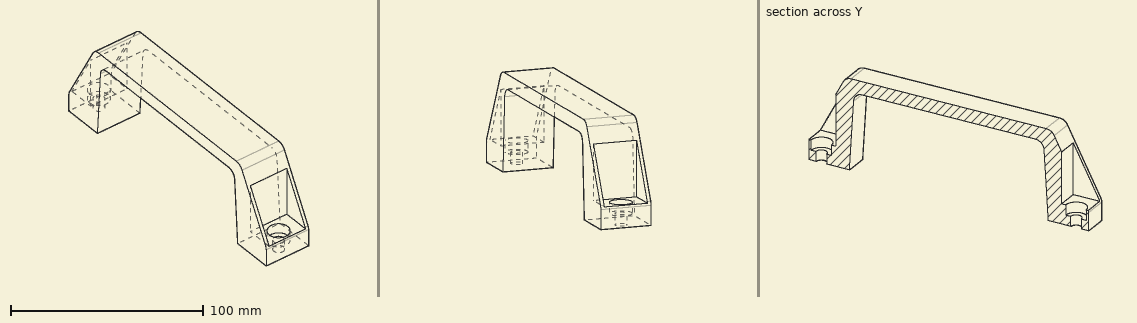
import cadquery as cq

LENGTH = 167.0
WIDTH = 28.0
HEIGHT = 53.5

GRIP_THICKNESS = 8.0
FOOT_LENGTH = 24.3
FOOT_FACE_HEIGHT = 11.9
SLOPE_RUN = 22.0
INNER_LEG_TOP_OFFSET = 27.1
SHOULDER_RADIUS = 5.5
FOOT_CORNER_RADIUS = 4.5
INNER_RADIUS = 5.0

POCKET_WALL = 2.0
POCKET_DEPTH = 16.0
POCKET_FLOOR = 12.0

HOLE_INSET = 7.5
HOLE_DIAMETER = 6.2
COUNTERBORE_DIAMETER = 12.0
COUNTERBORE_DEPTH = 6.0

HALF_LENGTH = LENGTH / 2
GRIP_UNDERSIDE = HEIGHT - GRIP_THICKNESS

EDGE_TOLERANCE = 0.1


def edges_along_width(x, z):
    """Select the two edges that run across the handle at (-x, z) and (x, z)."""
    boxes = [
        cq.selectors.BoxSelector(
            (side * x - EDGE_TOLERANCE, -WIDTH, z - EDGE_TOLERANCE),
            (side * x + EDGE_TOLERANCE, WIDTH, z + EDGE_TOLERANCE),
        )
        for side in (-1, 1)
    ]
    return boxes[0] + boxes[1]


def make_body():
    """Bow-shaped profile extruded across the width, with rounded corners."""
    shoulder_x = HALF_LENGTH - SLOPE_RUN
    inner_top_x = HALF_LENGTH - INNER_LEG_TOP_OFFSET
    inner_foot_x = HALF_LENGTH - FOOT_LENGTH
    outline = [
        (-HALF_LENGTH, 0),
        (-HALF_LENGTH, FOOT_FACE_HEIGHT),
        (-shoulder_x, HEIGHT),
        (shoulder_x, HEIGHT),
        (HALF_LENGTH, FOOT_FACE_HEIGHT),
        (HALF_LENGTH, 0),
        (inner_foot_x, 0),
        (inner_top_x, GRIP_UNDERSIDE),
        (-inner_top_x, GRIP_UNDERSIDE),
        (-inner_foot_x, 0),
    ]
    body = cq.Workplane("XZ").polyline(outline).close().extrude(WIDTH / 2, both=True)
    body = body.edges(edges_along_width(shoulder_x, HEIGHT)).fillet(SHOULDER_RADIUS)
    body = body.edges(edges_along_width(HALF_LENGTH, FOOT_FACE_HEIGHT)).fillet(FOOT_CORNER_RADIUS)
    return body.edges(edges_along_width(inner_top_x, GRIP_UNDERSIDE)).fillet(INNER_RADIUS)


def make_pocket(side):
    """Box that opens the sloped face above the foot; side is -1 or 1."""
    pocket_height = HEIGHT - POCKET_FLOOR
    return (
        cq.Workplane("XY", origin=(side * (HALF_LENGTH - POCKET_DEPTH / 2), 0, POCKET_FLOOR))
        .rect(POCKET_DEPTH, WIDTH - 2 * POCKET_WALL)
        .extrude(pocket_height)
    )


def make_screw_hole(side):
    """Through hole with a counterbore sunk from the pocket floor."""
    center_x = side * (HALF_LENGTH - HOLE_INSET)
    hole = cq.Workplane("XY", origin=(center_x, 0, 0)).circle(HOLE_DIAMETER / 2).extrude(POCKET_FLOOR)
    counterbore = (
        cq.Workplane("XY", origin=(center_x, 0, POCKET_FLOOR))
        .circle(COUNTERBORE_DIAMETER / 2)
        .extrude(-COUNTERBORE_DEPTH)
    )
    return hole.union(counterbore)


result = make_body()
for end in (-1, 1):
    result = result.cut(make_pocket(end)).cut(make_screw_hole(end))